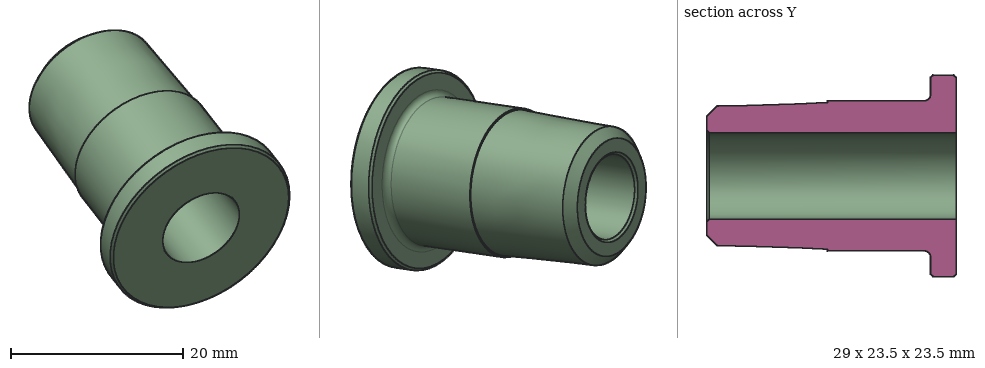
import cadquery as cq

total_length = 29
flange_diameter = 23.5
flange_thickness = 3.02
flange_chamfer = 0.3
body_diameter = 17.5
body_fillet = 0.75
nose_length = 14.0
nose_front_radius = 8.15
nose_rear_radius = 8.55
nose_chamfer = 1.22
bore_diameter = 10.0
bore_chamfer = 0.3
match_tolerance = 0.003

flange_radius = flange_diameter / 2
body_radius = body_diameter / 2
bore_radius = bore_diameter / 2
flange_start = total_length - flange_thickness


def tapered_nose():
    """Slightly conical nose with a bevelled tip, a small step below the body."""
    profile = (
        cq.Workplane("XY")
        .lineTo(0, nose_front_radius - nose_chamfer)
        .lineTo(nose_chamfer, nose_front_radius)
        .lineTo(nose_length, nose_rear_radius)
        .lineTo(nose_length, 0)
        .close()
    )
    return profile.revolve(360, (0, 0, 0), (1, 0, 0))


def cylinder(start, end, radius):
    return cq.Workplane("YZ", origin=(start, 0, 0)).circle(radius).extrude(end - start)


def body_and_flange():
    """Straight body and bevelled flange, joined by a fillet at the root."""
    body = cylinder(nose_length, flange_start, body_radius)
    flange = cylinder(flange_start, total_length, flange_radius)
    flange = flange.edges("%CIRCLE").chamfer(flange_chamfer)
    joined = body.union(flange)
    root_edges = joined.edges("%CIRCLE").filter(
        lambda edge: abs(edge.Center().x - flange_start) < match_tolerance
        and abs(edge.radius() - body_radius) < match_tolerance
    )
    return root_edges.fillet(body_fillet)


bore = cylinder(0, total_length, bore_radius)
result = body_and_flange().union(tapered_nose()).cut(bore)
bore_mouth = cq.selectors.RadiusNthSelector(0)
result = result.faces("<X").edges(bore_mouth).chamfer(bore_chamfer)